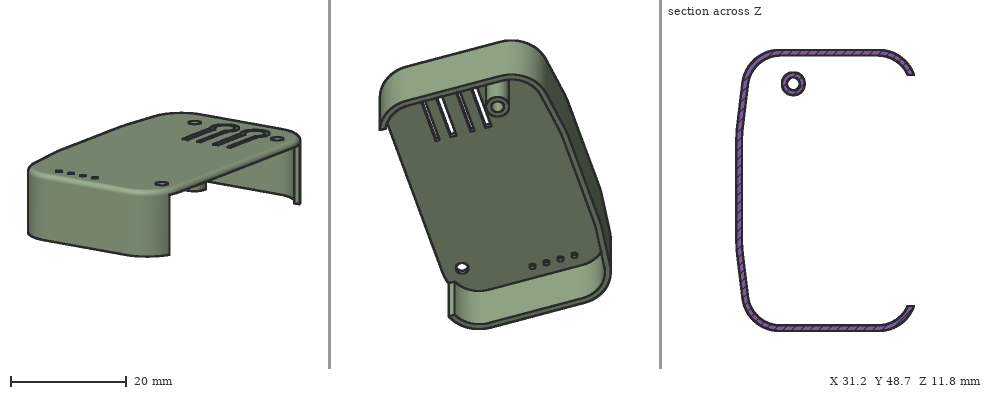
import cadquery as cq

length = 48.7
width = 31.2
height = 11.8
wall = 1.0
top_edge_radius = 0.97

corner_radius = 6.6
taper_inset = 1.75
knee_y = 9.95
knee_radius = 19.98

window_length = 39.95

button_xs = (0.65, 6.95)
button_y = 18.45
pad_diameter = 3.5
pad_clearance_diameter = 4.95
arm_width = 2.0
arm_end_y = 8.5
left_slot_width = 1.05
right_slot_width = 0.7

screw_hole_diameter = 2.2
post_diameter = 4.0
post_center = (-5.7, 18.45)
side_hole_x = 12.1
side_hole_y = 17.8
light_hole_diameter = 1.0
light_hole_count = 4
light_hole_pitch = 2.55
first_light_hole_x = -7.25
light_hole_y = -21.05

half_length = length / 2
half_width = width / 2
lid_bottom = height - wall


def outer_body():
    """Solid block with the rounded outline and sharp top and bottom edges."""
    outline = [
        (half_width, -half_length),
        (half_width, half_length),
        (taper_inset - half_width, half_length),
        (-half_width, knee_y),
        (-half_width, -knee_y),
        (taper_inset - half_width, -half_length),
    ]
    body = cq.Workplane("XY").polyline(outline).close().extrude(height)
    body = body.edges("|Z and <X").fillet(knee_radius)
    return body.edges("|Z and (<Y or >Y)").fillet(corner_radius)


def cavity(body):
    """Inside space, one wall thickness in from the outline and below the lid."""
    rim = body.faces("<Z").wires().val()
    return cq.Workplane("XY").add(rim).toPending().offset2D(-wall).extrude(lid_bottom)


def side_window():
    """Block that opens the +X wall, reaching from the cavity to the outside."""
    depth = 2 * wall
    return (
        cq.Workplane("XY")
        .box(depth, window_length, lid_bottom, centered=(False, True, False))
        .translate((half_width - depth, 0, 0))
    )


def lid_cylinders(centers, diameter, bottom):
    """Upright cylinders from the given level to the top face."""
    level = cq.Workplane("XY", origin=(0, 0, bottom))
    return level.pushPoints(centers).circle(diameter / 2).extrude(height - bottom)


def lid_bar(x_min, x_max):
    """Bar through the lid from the button centre line to the end of the arm."""
    return (
        cq.Workplane("XY", origin=(0, 0, lid_bottom))
        .moveTo(x_min, arm_end_y)
        .lineTo(x_max, arm_end_y)
        .lineTo(x_max, button_y)
        .lineTo(x_min, button_y)
        .close()
        .extrude(wall)
    )


def button_gap(x):
    """Gap around one button: a ring around the pad and a slot on each side of the arm."""
    arm_left = x - arm_width / 2
    arm_right = x + arm_width / 2
    center = [(x, button_y)]
    gap = lid_cylinders(center, pad_clearance_diameter, lid_bottom)
    gap = gap.union(lid_bar(arm_left - left_slot_width, arm_right + right_slot_width))
    gap = gap.cut(lid_cylinders(center, pad_diameter, lid_bottom))
    return gap.cut(lid_bar(arm_left, arm_right))


block = outer_body()
result = block.faces(">Z").edges().fillet(top_edge_radius)
result = result.cut(cavity(block))
result = result.cut(side_window())

result = result.union(lid_cylinders([post_center], post_diameter, 0))
result = result.cut(lid_cylinders([post_center], screw_hole_diameter, 0))

for button_x in button_xs:
    result = result.cut(button_gap(button_x))

side_holes = [(side_hole_x, side_hole_y), (side_hole_x, -side_hole_y)]
result = result.cut(lid_cylinders(side_holes, screw_hole_diameter, lid_bottom))

light_holes = [(first_light_hole_x + i * light_hole_pitch, light_hole_y) for i in range(light_hole_count)]
result = result.cut(lid_cylinders(light_holes, light_hole_diameter, lid_bottom))